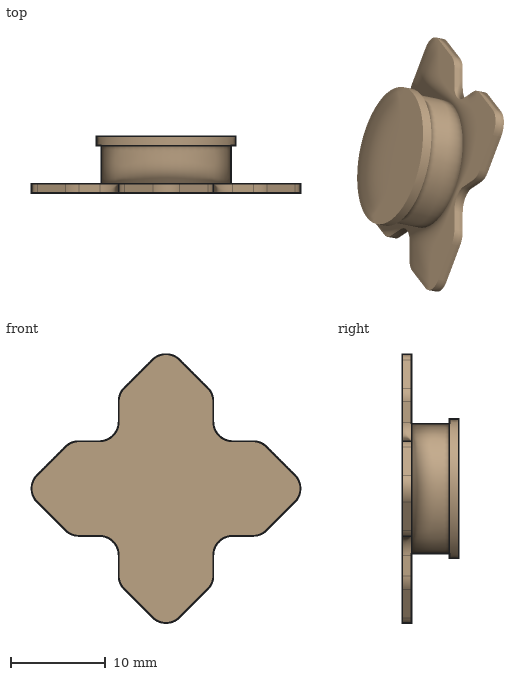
import cadquery as cq

arm_half_width = 5.0
tip_reach = 15.0
shoulder_reach = tip_reach - arm_half_width
corner_radius = 2.0
plate_thickness = 1.0

spigot_diameter = 13.7
spigot_length = 4.0
flange_diameter = 14.7
flange_thickness = 1.0


def arm_pair():
    """Bar along X, pointed at both ends, with its front face at Y = 0."""
    outline = [
        (tip_reach, 0),
        (shoulder_reach, arm_half_width),
        (-shoulder_reach, arm_half_width),
        (-tip_reach, 0),
        (-shoulder_reach, -arm_half_width),
        (shoulder_reach, -arm_half_width),
    ]
    return cq.Workplane("XZ").polyline(outline).close().extrude(-plate_thickness)


def cross_plate():
    """Two crossed bars with every corner rounded, inner corners included."""
    horizontal = arm_pair()
    vertical = horizontal.rotate((0, 0, 0), (0, 1, 0), 90)
    return horizontal.union(vertical).edges("|Y").fillet(corner_radius)


def disc(diameter, start, length):
    """Cylinder along +Y whose front face is at Y = start."""
    base = cq.Workplane("XZ", origin=(0, start, 0))
    return base.circle(diameter / 2).extrude(-length)


spigot = disc(spigot_diameter, plate_thickness, spigot_length)
flange = disc(flange_diameter, plate_thickness + spigot_length, flange_thickness)

result = cross_plate().union(spigot).union(flange)